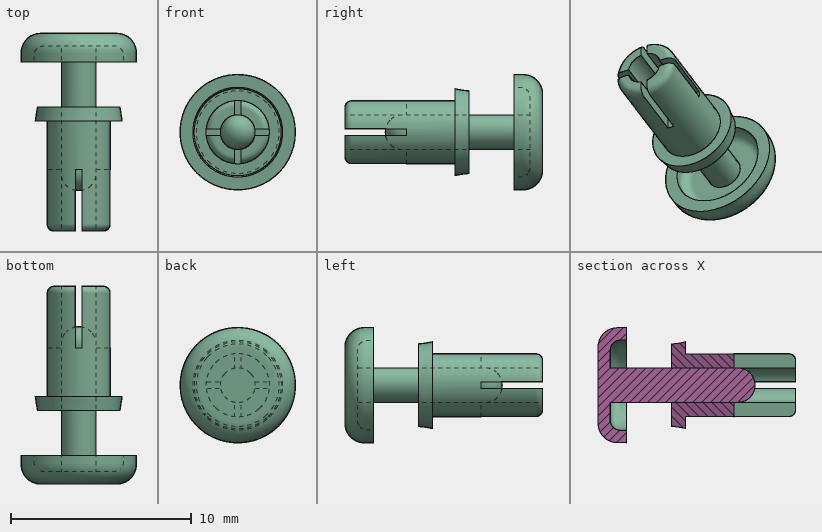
import cadquery as cq

total_length = 10.95

head_radius = 3.2
head_thickness = 1.6
head_round = 1.1
shank_radius = 0.96
shank_tip = 2.23
recess_radius = 2.49
recess_depth = 0.9
recess_round = 0.55

sleeve_length = 6.88
sleeve_radius = 1.75
tip_round = 0.38
flange_thickness = 0.79
flange_front_radius = 2.41
flange_back_radius = 2.29
slot_width = 0.36
slot_length = 3.4

head_face = total_length - head_thickness
recess_floor = head_face + recess_depth
flange_face = sleeve_length - flange_thickness


def cylinder(radius, start, end):
    """Cylinder on the Y axis between two Y positions."""
    return cq.Workplane("XZ", origin=(0, start, 0)).circle(radius).extrude(start - end)


def make_pin():
    """Domed head with a rounded annular recess, and a shank with a hemispherical tip."""
    head = cylinder(head_radius, head_face, total_length).faces(">Y").edges().fillet(head_round)
    recess = cylinder(recess_radius, head_face, recess_floor).faces(">Y").edges().fillet(recess_round)
    shank = cylinder(shank_radius, shank_tip + shank_radius, recess_floor)
    tip = cq.Workplane("XY", origin=(0, shank_tip + shank_radius, 0)).sphere(shank_radius)
    return head.cut(recess).union(shank).union(tip)


def make_sleeve():
    """Flanged tube, bored to fit the shank, with crossed slots that split its tip into four."""
    tube = cylinder(sleeve_radius, 0, sleeve_length).faces("<Y").edges().fillet(tip_round)
    flange = (
        cq.Workplane("XZ", origin=(0, flange_face, 0))
        .circle(flange_front_radius)
        .workplane(offset=-flange_thickness)
        .circle(flange_back_radius)
        .loft()
    )
    sleeve = tube.union(flange).cut(cylinder(shank_radius, 0, sleeve_length))
    slot = cq.Workplane("XY").box(2 * sleeve_radius, slot_length, slot_width, centered=(True, False, True))
    for angle in (0, 90):
        sleeve = sleeve.cut(slot.rotate((0, 0, 0), (0, 1, 0), angle))
    return sleeve


pin = make_pin()
sleeve = make_sleeve()
result = cq.Compound.makeCompound([pin.val(), sleeve.val()])